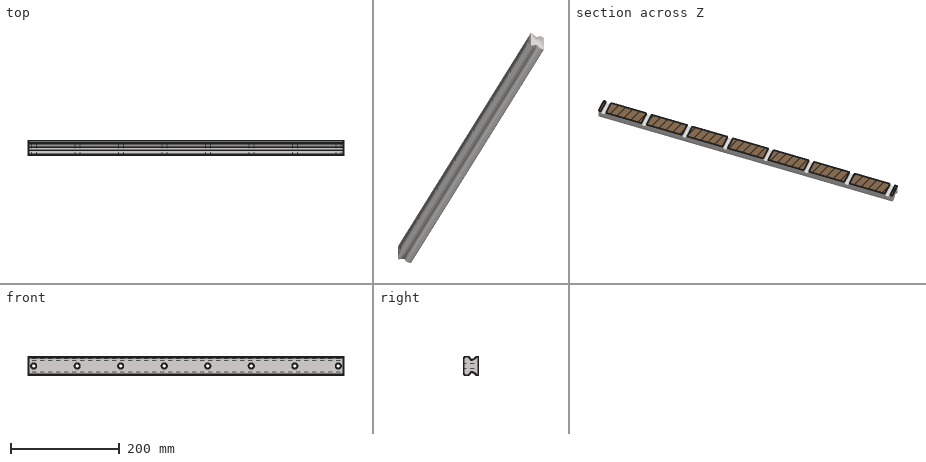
import cadquery as cq

length = 580.0
depth = 27.0
height = 34.0

head_land = 4.0
lip_end = 6.0
lip_drop = 3.0
groove_bottom = 13.0
groove_drop = 6.5
shoulder_start = 18.0
base_chamfer = 2.5

hole_count = 8
hole_pitch = 80.0
hole_diameter = 9.0

back_y = depth / 2
half_height = height / 2


def make_rail():
    """Extrude the grooved section along X, centred on the origin."""
    upper_half = [
        (back_y, half_height),
        (back_y - head_land, half_height),
        (back_y - lip_end, half_height - lip_drop),
        (back_y - groove_bottom, half_height - groove_drop),
        (back_y - shoulder_start, half_height),
        (-back_y + base_chamfer, half_height),
        (-back_y, half_height - base_chamfer),
    ]
    lower_half = [(y, -z) for y, z in reversed(upper_half)]
    section = cq.Workplane("YZ").polyline(upper_half + lower_half).close()
    return section.extrude(length / 2, both=True)


def make_mounting_holes():
    """Row of evenly spaced through holes running along Y."""
    return (
        cq.Workplane("XZ")
        .rarray(hole_pitch, 6, hole_count, 1)
        .circle(hole_diameter / 2)
        .extrude(depth, both=True)
    )


result = make_rail().cut(make_mounting_holes())